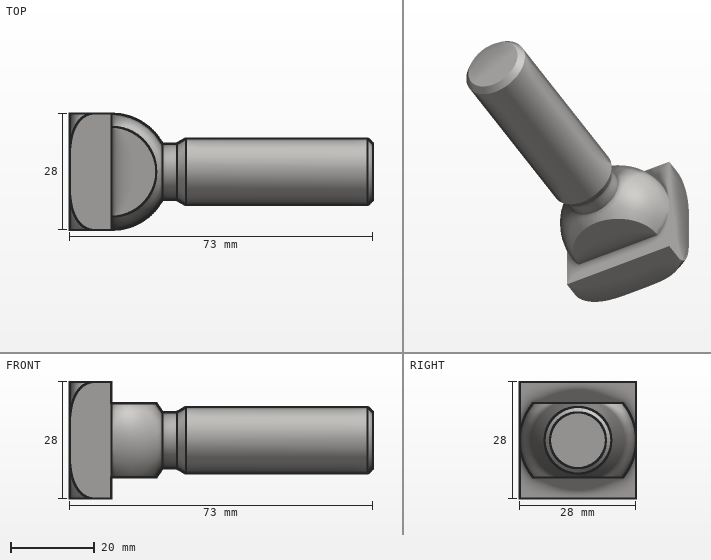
import cadquery as cq
import math

total_length = 73.0
head_side = 28.0
head_thickness = 10.0

ball_radius = head_side / 2
ball_flat_width = 17.8

neck_radius = 6.8
neck_end = 25.8
shaft_radius = 8.0
shaft_start = 27.95
end_chamfer_length = 1.3
end_chamfer_depth = 1.3


def make_head():
    """Square head whose front corners are rounded by a filleted disc."""
    block = cq.Workplane("YZ").rect(head_side, head_side).extrude(head_thickness)
    face_radius = head_side / 2
    corner_radius = face_radius * math.sqrt(2)
    fillet_radius = corner_radius - face_radius
    diagonal = fillet_radius * math.sqrt(0.5)
    rounded_disc = (
        cq.Workplane("XY")
        .moveTo(0, 0)
        .lineTo(0, face_radius)
        .threePointArc(
            (fillet_radius - diagonal, face_radius + diagonal),
            (fillet_radius, corner_radius),
        )
        .lineTo(head_thickness, corner_radius)
        .lineTo(head_thickness, 0)
        .close()
        .revolve(360, (0, 0, 0), (1, 0, 0))
    )
    return block.intersect(rounded_disc)


def make_ball():
    """Half ball on the back of the head, with flats at top and bottom."""
    slab = cq.Workplane("XY").box(
        ball_radius, head_side, ball_flat_width, centered=(False, True, True)
    )
    half_ball = cq.Workplane("XY").sphere(ball_radius).intersect(slab)
    return half_ball.translate((head_thickness, 0, 0))


def make_shaft():
    """Neck, taper and shaft with a chamfered end, turned about X."""
    profile = [
        (head_thickness, 0),
        (head_thickness, neck_radius),
        (neck_end, neck_radius),
        (shaft_start, shaft_radius),
        (total_length - end_chamfer_length, shaft_radius),
        (total_length, shaft_radius - end_chamfer_depth),
        (total_length, 0),
    ]
    return cq.Workplane("XY").polyline(profile).close().revolve(360, (0, 0, 0), (1, 0, 0))


result = make_head().union(make_ball()).union(make_shaft())